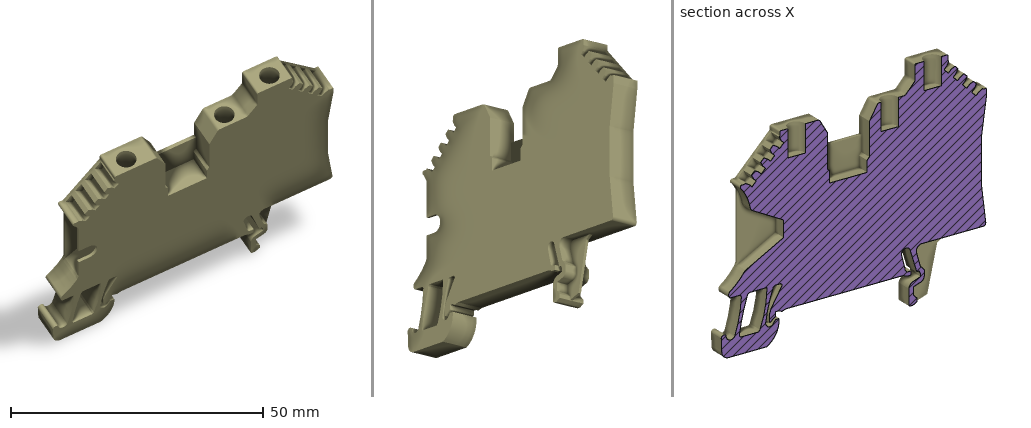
import cadquery as cq
import math


width = 6.1
length = 63.75
height = 52.5
wall = 0.75
entry_wall = 0.65
deck_z = 46.3
shelf_z = 12.9
rail_z = 7.1
overlap = 0.2

square_round = 0.4
slanted_round = 0.7

recess_y = (25.55, 35.55)
side_wall_z = 38.8
recess_step_z = 35.05
recess_step = 0.6
recess_floor_z = 31.9

screw_hole_d = 4.1
screw_hole_depth = 6.4
screw_hole_x = 3.45

rear_slope_top = (54.5, 51.2)
front_slope_top = (14.1, 45.2)
groove_count = 4
groove_pitch = 3.1
first_groove = 1.3
groove_mouth = 2.0
groove_slot = 1.35
groove_flare_depth = 1.0
groove_depth = 1.9

entry_face_y = 5.85
lip_axis = (-3.65, 29.3)
lip_radius = 10.8
lip_tip_y = 5.0
entry_back_y = 15.0
notch_z = 25.05
notch_radius = 1.85
notch_bottom_y = 10.1

web_thickness = 0.65


def plate(profile, x_start=0.0, x_end=width):
    """Extrude a closed YZ profile between two X positions."""
    return profile.close().extrude(x_end - x_start).translate((x_start, 0, 0))


def start(y, z):
    return cq.Workplane("YZ").moveTo(y, z)


def on_lip(y):
    """Point of the lip curve above the wire entry at the given Y."""
    return y, lip_axis[1] + math.sqrt(lip_radius**2 - (y - lip_axis[0])**2)


def round_corners(body, corners, radius):
    """Fillet the X-direction edges that pass through the given YZ corners."""
    for y, z in corners:
        edge = cq.selectors.NearestToPointSelector((width / 2, y, z))
        body = body.edges("|X").edges(edge).fillet(radius)
    return body


def housing():
    """Main body above the underside shelf, starting at the lower +Y corner."""
    tall_tower_front = 46.45
    step_top = (tall_tower_front, 48.75)
    step_foot = (44.2, deck_z)
    middle_tower_corner = (37.6, deck_z)
    front_tower_corner = (23.6, deck_z)
    rear_slope_foot = (62.85, 42.85)
    front_slope_foot = (5.75, 36.85)
    outline = (
        start(63.05, shelf_z)
        .threePointArc((63.4, 13.1), (63.55, 13.7))
        .lineTo(62.5, 22.05)
        .lineTo(62.5, 32.5)
        .lineTo(length, 41.1)
        .lineTo(length, 42.85)
        .lineTo(*rear_slope_foot)
        .lineTo(*rear_slope_top)
        .lineTo(rear_slope_top[0], height)
        .lineTo(tall_tower_front, height)
        .lineTo(*step_top)
        .lineTo(*step_foot)
        .lineTo(*middle_tower_corner)
        .lineTo(recess_y[1], 42.85)
        .lineTo(recess_y[1], side_wall_z)
        .lineTo(recess_y[0], side_wall_z)
        .lineTo(recess_y[0], 42.95)
        .lineTo(*front_tower_corner)
        .lineTo(front_slope_top[0], deck_z)
        .lineTo(*front_slope_top)
        .lineTo(*front_slope_foot)
        .lineTo(5.0, 36.85)
        .threePointArc((4.6, 36.5), (4.65, 36.1))
        .lineTo(*on_lip(lip_tip_y))
        .threePointArc(on_lip(5.5), on_lip(entry_face_y))
        .lineTo(entry_face_y, 18.5)
        .lineTo(5.55, 17.8)
        .threePointArc((3.9, 15.8), (2.05, 14.3))
        .threePointArc((1.8, 13.6), (2.2, shelf_z))
    )
    square_corners = (
        (rear_slope_top[0], height),
        (tall_tower_front, height),
        (front_slope_top[0], deck_z),
    )
    slanted_corners = (
        step_top,
        step_foot,
        middle_tower_corner,
        front_tower_corner,
        rear_slope_foot,
        front_slope_foot,
    )
    body = round_corners(plate(outline), square_corners, square_round)
    return round_corners(body, slanted_corners, slanted_round)


def base_block():
    """Block that sits on the rail, with a small retaining lip at each end."""
    outline = (
        start(44.35, shelf_z + overlap)
        .lineTo(44.35, shelf_z)
        .threePointArc((43.55, 12.4), (43.4, 11.6))
        .lineTo(44.25, 8.3)
        .threePointArc((44.4, 7.9), (44.9, 7.7))
        .lineTo(45.65, 7.7)
        .lineTo(45.65, 6.7)
        .lineTo(44.7, 6.7)
        .lineTo(43.65, rail_z)
        .lineTo(15.55, rail_z)
        .lineTo(14.6, 6.75)
        .lineTo(13.9, rail_z)
        .lineTo(13.1, rail_z)
        .lineTo(13.1, 6.1)
        .lineTo(11.8, 5.1)
        .lineTo(11.55, 5.2)
        .lineTo(11.55, 6.9)
        .lineTo(12.0, 8.15)
        .lineTo(14.5, 12.25)
        .threePointArc((14.55, 12.7), (14.15, shelf_z))
        .lineTo(14.15, shelf_z + overlap)
    )
    return plate(outline)


def foot():
    """Fixed foot hung on two curved legs, hooked at both ends."""
    outline = (
        start(12.95, shelf_z + overlap)
        .lineTo(12.95, shelf_z)
        .lineTo(12.6, 12.6)
        .threePointArc((11.5, 8.9), (10.8, 5.2))
        .threePointArc((11.7, 4.3), (12.55, 4.8))
        .lineTo(13.05, 5.5)
        .lineTo(13.95, 5.5)
        .threePointArc((13.0, 1.85), (10.9, 0))
        .lineTo(1.65, 0)
        .threePointArc((0.6, 0.6), (0.1, 1.9))
        .lineTo(0, 4.7)
        .threePointArc((0.6, 5.3), (1.3, 5.0))
        .threePointArc((2.2, 3.8), (3.25, 4.35))
        .threePointArc((4.35, 8.4), (4.85, 12.5))
        .lineTo(4.65, shelf_z)
        .lineTo(4.65, shelf_z + overlap)
    )
    window = (
        start(10.95, shelf_z)
        .lineTo(6.75, shelf_z)
        .lineTo(6.45, 12.55)
        .threePointArc((5.2, 8.35), (4.45, 4.15))
        .lineTo(4.65, 3.8)
        .lineTo(9.0, 3.8)
        .lineTo(9.3, 4.2)
        .threePointArc((10.5, 8.4), (10.95, 12.6))
    )
    return plate(outline).cut(plate(window))


def clip():
    """Full-width S-shaped spring clip, stiffened by a thin central web."""
    spring = (
        start(48.1, shelf_z + overlap)
        .lineTo(48.1, shelf_z)
        .threePointArc((47.15, 12.35), (47.0, 11.2))
        .lineTo(47.9, 8.1)
        .lineTo(48.8, 7.15)
        .lineTo(48.8, 5.7)
        .threePointArc((48.6, 5.05), (48.0, 4.6))
        .lineTo(46.2, 4.0)
        .lineTo(46.2, 2.2)
        .lineTo(47.05, 1.4)
        .lineTo(47.05, 0.6)
        .lineTo(46.0, 0)
        .lineTo(45.25, 0)
        .lineTo(45.0, 0.25)
        .lineTo(45.0, 3.95)
        .threePointArc((45.4, 4.8), (46.15, 5.3))
        .lineTo(47.8, 5.85)
        .lineTo(47.8, 6.5)
        .lineTo(47.5, rail_z)
        .lineTo(46.9, rail_z)
        .lineTo(45.3, 12.25)
        .threePointArc((45.0, 12.7), (44.35, shelf_z))
        .lineTo(44.35, shelf_z + overlap)
    )
    web = (
        start(53.15, shelf_z + overlap)
        .lineTo(53.15, shelf_z)
        .lineTo(51.95, 12.05)
        .lineTo(49.6, 1.5)
        .lineTo(46.4, 0.45)
        .lineTo(45.9, 4.4)
        .lineTo(48.3, 5.75)
        .lineTo(46.5, 11.2)
        .lineTo(46.5, shelf_z + overlap)
    )
    web_x = (width - web_thickness) / 2
    return plate(spring).union(plate(web, web_x, web_x + web_thickness))


def rib_grooves(slope_top, downhill):
    """Flared grooves across a shoulder falling at 45 degrees.

    downhill is +1 where the shoulder falls towards +Y, -1 towards -Y.
    """
    diagonal = math.sqrt(0.5)

    def on_slope(along, depth):
        y = slope_top[0] + downhill * diagonal * (along - depth)
        z = slope_top[1] - diagonal * (along + depth)
        return y, z

    half_mouth = groove_mouth / 2
    half_slot = groove_slot / 2
    grooves = cq.Workplane("YZ")
    for index in range(groove_count):
        centre = first_groove + index * groove_pitch
        corners = [
            on_slope(centre - half_mouth, 0),
            on_slope(centre + half_mouth, 0),
            on_slope(centre + half_slot, groove_flare_depth),
            on_slope(centre + half_slot, groove_depth),
            on_slope(centre - half_slot, groove_depth),
            on_slope(centre - half_slot, groove_flare_depth),
        ]
        grooves = grooves.add(plate(cq.Workplane("YZ").polyline(corners), wall, width))
    return grooves.combine()


def marker_recess():
    """Stepped recess between the towers, open towards +X."""
    low_y, high_y = recess_y
    outline = (
        start(low_y, side_wall_z)
        .lineTo(high_y, side_wall_z)
        .lineTo(high_y, recess_step_z)
        .lineTo(high_y - recess_step, recess_step_z - recess_step)
        .lineTo(high_y - recess_step, recess_floor_z)
        .lineTo(low_y + recess_step, recess_floor_z)
        .lineTo(low_y + recess_step, recess_step_z - recess_step)
        .lineTo(low_y, recess_step_z)
    )
    return plate(outline, wall, width)


def screw_hole(y, top_z):
    return (
        cq.Workplane("XY", origin=(screw_hole_x, y, top_z))
        .circle(screw_hole_d / 2)
        .extrude(-screw_hole_depth)
    )


def wire_entry():
    """Funnel between the side walls, narrowing to a flat back face."""
    funnel = (
        start(*on_lip(lip_tip_y))
        .threePointArc(on_lip(entry_face_y), on_lip(6.95))
        .lineTo(7.2, 30.7)
        .lineTo(entry_back_y, 26.6)
        .lineTo(entry_back_y, 22.8)
        .lineTo(entry_face_y, 18.05)
        .lineTo(lip_tip_y, 17.15)
    )
    notch = (
        start(0, notch_z - notch_radius)
        .lineTo(notch_bottom_y - notch_radius, notch_z - notch_radius)
        .threePointArc(
            (notch_bottom_y, notch_z),
            (notch_bottom_y - notch_radius, notch_z + notch_radius),
        )
        .lineTo(0, notch_z + notch_radius)
    )
    side_notch = plate(notch, width - entry_wall, width)
    return plate(funnel, entry_wall, width - entry_wall).union(side_notch)


result = housing().union(base_block()).union(foot()).union(clip())
result = result.cut(rib_grooves(rear_slope_top, 1))
result = result.cut(rib_grooves(front_slope_top, -1))
result = result.cut(marker_recess())
result = result.cut(wire_entry())
for hole_y, hole_top in ((50.75, height), (40.5, deck_z), (18.15, deck_z)):
    result = result.cut(screw_hole(hole_y, hole_top))